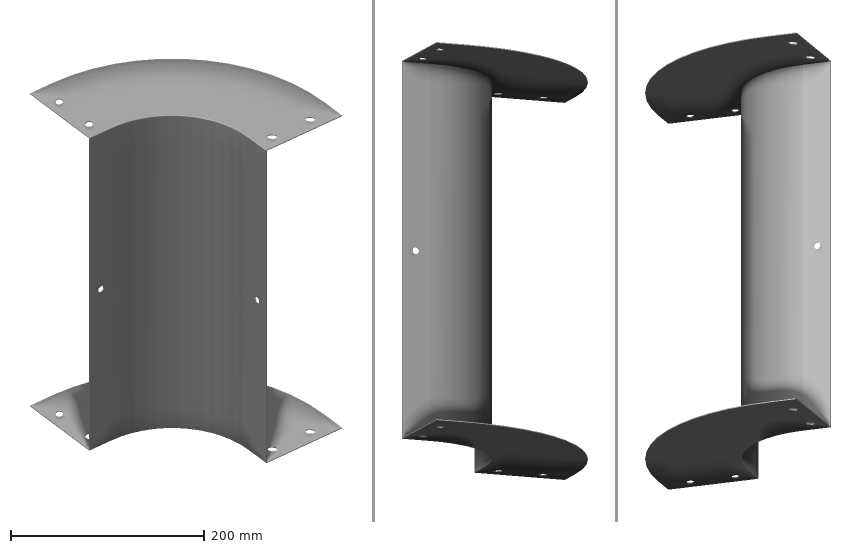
import cadquery as cq
import math

side = 230.0
height = 400.0
sheet = 1.0
corner_radius = sheet

band_width = 100.0
straight = 30.0
outer_radius = side - straight
inner_radius = outer_radius - band_width

hole_diameter = 7.0
hole_end_distance = straight / 2
slot_length = 10.0
slot_angle = 45.0
slot_edge_distances = (30.0, 80.0)

end_x = side / 2
end_y = -side / 2
bend_x = end_x - straight
bend_y = end_y + straight


def curved_band(large_radius, small_radius, thickness):
    """Quarter-turn band between two radii, with straight ends, standing on Z = 0."""
    diagonal = math.sqrt(0.5)
    return (
        cq.Workplane("XY")
        .moveTo(bend_x - large_radius, end_y)
        .lineTo(bend_x - large_radius, bend_y)
        .threePointArc(
            (bend_x - large_radius * diagonal, bend_y + large_radius * diagonal),
            (bend_x, bend_y + large_radius),
        )
        .lineTo(end_x, bend_y + large_radius)
        .lineTo(end_x, bend_y + small_radius)
        .lineTo(bend_x, bend_y + small_radius)
        .threePointArc(
            (bend_x - small_radius * diagonal, bend_y + small_radius * diagonal),
            (bend_x - small_radius, bend_y),
        )
        .lineTo(bend_x - small_radius, end_y)
        .close()
        .extrude(thickness)
    )


def flange_slots():
    """Vertical cutters for the two diagonal slots at each end of both flanges."""
    near_y_end = [(distance - side / 2, end_y + hole_end_distance) for distance in slot_edge_distances]
    near_x_end = [(end_x - hole_end_distance, side / 2 - distance) for distance in slot_edge_distances]
    cutters = cq.Workplane("XY")
    for points, angle in ((near_y_end, -slot_angle), (near_x_end, slot_angle)):
        cutters = cutters.add(
            cq.Workplane("XY")
            .pushPoints(points)
            .slot2D(slot_length, hole_diameter, angle)
            .extrude(height)
        )
    return cutters.combine()


def wall_holes():
    """Mid-height cutters through the straight run at each end of the wall."""
    along_y = (
        cq.Workplane("XZ")
        .center(end_x - hole_end_distance, height / 2)
        .circle(hole_diameter / 2)
        .extrude(side, both=True)
    )
    along_x = (
        cq.Workplane("YZ")
        .center(end_y + hole_end_distance, height / 2)
        .circle(hole_diameter / 2)
        .extrude(side, both=True)
    )
    return along_y.union(along_x)


def rounded_envelope():
    """Full-height band with its concave top and bottom edges rounded over."""
    nearest = cq.selectors.NearestToPointSelector
    diagonal = math.sqrt(0.5)
    arc_x = bend_x - inner_radius * diagonal
    arc_y = bend_y + inner_radius * diagonal
    band = curved_band(outer_radius, inner_radius, height)
    for level in (0, height):
        band = band.edges(nearest((arc_x, arc_y, level))).fillet(corner_radius)
    return band


hollow = curved_band(outer_radius, inner_radius + sheet, height - 2 * sheet)
hollow = hollow.translate((0, 0, sheet))
body = rounded_envelope().cut(hollow)
result = body.cut(flange_slots()).cut(wall_holes())